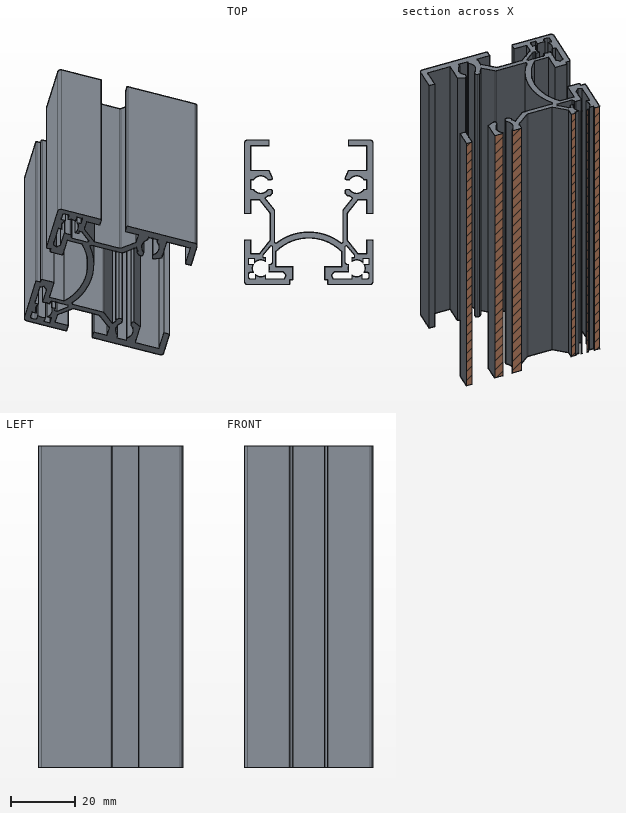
import cadquery as cq
import math

WIDTH = 40.0
DEPTH = 45.0
LENGTH = 100.0
HALF_WIDTH = WIDTH / 2
CORNER_RADIUS = 1.0
EDGE_RADIUS = 0.3

WALL = 2.0
FLANGE_END = 7.7
FLANGE_THICKNESS = 1.9
WEB_OUTER = 8.0
WEB_INNER = 9.4

SLOT_CENTER = 18.0
SLOT_OPENING = 8.2
SLOT_DEPTH = 16.7
SLOT_FLOOR = 4.7
BRACE_START = 4.2
UPPER_BRACE_END = 23.2
BRACE_JOINT_RADIUS = 0.8

ARCH_OUTER_RADIUS = 16.4
ARCH_INNER_RADIUS = 14.5
ARCH_JOINT_RADIUS = 0.4

BORE_X = 5.1
UPPER_BORE_RADIUS = 2.7
UPPER_BORE_Y = 31.1
LOWER_BORE_RADIUS = 2.6
LOWER_BORE_Y = 5.1
PORT_GAP = 3.0
PORT_TOP = 35.5
UPPER_ARM_NOSE_Y = 33.2
LOWER_ARM_NOSE_Y = 28.4
PORT_END = 8.7
PORT_TIP_RADIUS = 0.5
PORT_NECK = (6.4, 26.9)
LOWER_ARM_UNDERSIDE = [(7.5, 27.7), (7.9, 27.5)]

FOOT_END = 15.1
FOOT_TOP = 5.6
FOOT_WALL = 9.8
FOOT_STEP_X = 14.1
FOOT_STEP_Y = 1.5
RELIEF_RADIUS = 0.5
RELIEF_LEFT = 1.3
RELIEF_BOTTOM = 1.8
LOWER_RELIEF_RIGHT = 3.4
LOWER_RELIEF_TOP = 3.8
UPPER_RELIEF_RIGHT = 3.1
UPPER_RELIEF_BOTTOM = 6.3
UPPER_RELIEF_TOP = 8.1
PASSAGE_LEFT = 6.6
PASSAGE_TOP = 4.0
PASSAGE_END = 12.9
PASSAGE_END_Y = 3.0
PASSAGE_FLOOR_END = 12.4
PASSAGE_ROOF_END = 12.0
THROAT_RIGHT = 7.6
THROAT_TOP = 6.3
VOID_LEFT = 5.8
VOID_LEFT_BOTTOM = 8.4
VOID_LEFT_TOP = 9.2
VOID_RIGHT = 8.7
VOID_RIGHT_TOP = 11.9
VOID_APEX_Y = 12.1
VOID_CHAMFER = 0.5

slot_top = SLOT_CENTER + SLOT_OPENING / 2
slot_bottom = SLOT_CENTER - SLOT_OPENING / 2
pocket_top = SLOT_CENTER + SLOT_DEPTH / 2
pocket_bottom = SLOT_CENTER - SLOT_DEPTH / 2


def prism(outline):
    """Extrude a closed outline over the full length."""
    return outline.close().extrude(LENGTH)


def polygon(points):
    return prism(cq.Workplane("XY").polyline(points))


def rectangle(left, right, bottom, top):
    return polygon([(left, bottom), (right, bottom), (right, top), (left, top)])


def bore(radius, center_y):
    return cq.Workplane("XY").center(BORE_X, center_y).circle(radius).extrude(LENGTH)


def arch_point(radius, x):
    """Point at x on an arch of the given radius."""
    return (x, math.sqrt(radius**2 - (HALF_WIDTH - x) ** 2))


def arch_middle(radius, x):
    """Point halfway along the arch between x and the symmetry plane."""
    half_angle = math.asin((HALF_WIDTH - x) / radius) / 2
    return (HALF_WIDTH - radius * math.sin(half_angle), radius * math.cos(half_angle))


def round_edge(body, point, radius):
    """Round the lengthwise edge that passes through the given point."""
    nearest = cq.selectors.NearestToPointSelector((*point, LENGTH / 2))
    return body.edges("|Z").edges(nearest).fillet(radius)


def half_body():
    """Left half of the section, without the bores and the foot pocket."""
    outline = (
        cq.Workplane("XY")
        .moveTo(HALF_WIDTH, ARCH_OUTER_RADIUS)
        .threePointArc(
            arch_middle(ARCH_OUTER_RADIUS, WEB_INNER), arch_point(ARCH_OUTER_RADIUS, WEB_INNER)
        )
        .lineTo(WEB_INNER, UPPER_BRACE_END)
        .lineTo(*PORT_NECK)
        .lineTo(*LOWER_ARM_UNDERSIDE[0])
        .lineTo(*LOWER_ARM_UNDERSIDE[1])
        .lineTo(PORT_END, LOWER_ARM_NOSE_Y)
        .lineTo(PORT_END, UPPER_ARM_NOSE_Y)
        .lineTo(FLANGE_END, PORT_TOP)
        .lineTo(WALL, PORT_TOP)
        .lineTo(WALL, DEPTH - FLANGE_THICKNESS)
        .lineTo(FLANGE_END, DEPTH - FLANGE_THICKNESS)
        .lineTo(FLANGE_END, DEPTH)
        .lineTo(0, DEPTH)
        .lineTo(0, slot_top)
        .lineTo(WALL, slot_top)
        .lineTo(WALL, pocket_top)
        .lineTo(SLOT_FLOOR, pocket_top)
        .lineTo(WEB_OUTER, SLOT_CENTER + BRACE_START)
        .lineTo(WEB_OUTER, SLOT_CENTER - BRACE_START)
        .lineTo(SLOT_FLOOR, pocket_bottom)
        .lineTo(WALL, pocket_bottom)
        .lineTo(WALL, slot_bottom)
        .lineTo(0, slot_bottom)
        .lineTo(0, 0)
        .lineTo(FOOT_STEP_X, 0)
        .lineTo(FOOT_STEP_X, FOOT_STEP_Y)
        .lineTo(FOOT_END, FOOT_STEP_Y)
        .lineTo(FOOT_END, FOOT_TOP)
        .lineTo(FOOT_WALL, FOOT_TOP)
        .lineTo(*arch_point(ARCH_INNER_RADIUS, FOOT_WALL))
        .threePointArc(
            arch_middle(ARCH_INNER_RADIUS, FOOT_WALL), (HALF_WIDTH, ARCH_INNER_RADIUS)
        )
    )
    body = prism(outline)
    for corner in [(0, 0), (0, DEPTH)]:
        body = round_edge(body, corner, CORNER_RADIUS)
    for edge in [(0, slot_top), (0, slot_bottom), (FOOT_STEP_X, 0), (FOOT_END, FOOT_STEP_Y)]:
        body = round_edge(body, edge, EDGE_RADIUS)
    for joint in [(WEB_INNER, UPPER_BRACE_END), (WEB_OUTER, SLOT_CENTER + BRACE_START)]:
        body = round_edge(body, joint, BRACE_JOINT_RADIUS)
    return round_edge(body, arch_point(ARCH_OUTER_RADIUS, WEB_INNER), ARCH_JOINT_RADIUS)


def cut_screw_port(body):
    """Bore with a gap that reaches the side wall and opens towards the middle."""
    gap_bottom = UPPER_BORE_Y - PORT_GAP / 2
    gap_top = UPPER_BORE_Y + PORT_GAP / 2
    body = body.cut(bore(UPPER_BORE_RADIUS, UPPER_BORE_Y))
    body = body.cut(rectangle(WALL, HALF_WIDTH, gap_bottom, gap_top))
    for tip_y in [gap_bottom, gap_top]:
        body = round_edge(body, (PORT_END, tip_y), PORT_TIP_RADIUS)
    return body


def foot_pocket():
    """Lower bore with its corner reliefs, side passage and brace void."""
    lower_relief = rectangle(RELIEF_LEFT, LOWER_RELIEF_RIGHT, RELIEF_BOTTOM, LOWER_RELIEF_TOP)
    for corner_y in [RELIEF_BOTTOM, LOWER_RELIEF_TOP]:
        lower_relief = round_edge(lower_relief, (RELIEF_LEFT, corner_y), RELIEF_RADIUS)
    upper_relief = rectangle(RELIEF_LEFT, UPPER_RELIEF_RIGHT, UPPER_RELIEF_BOTTOM, UPPER_RELIEF_TOP)
    passage = polygon(
        [
            (PASSAGE_LEFT, RELIEF_BOTTOM),
            (PASSAGE_FLOOR_END, RELIEF_BOTTOM),
            (PASSAGE_END, PASSAGE_END_Y),
            (PASSAGE_ROOF_END, PASSAGE_TOP),
            (PASSAGE_LEFT, PASSAGE_TOP),
        ]
    )
    brace_void = polygon(
        [
            (PASSAGE_LEFT, THROAT_TOP),
            (VOID_RIGHT - VOID_CHAMFER, THROAT_TOP),
            (VOID_RIGHT, THROAT_TOP + VOID_CHAMFER),
            (VOID_RIGHT, VOID_RIGHT_TOP),
            (VOID_RIGHT - VOID_CHAMFER, VOID_APEX_Y),
            (VOID_LEFT, VOID_LEFT_TOP),
            (VOID_LEFT, VOID_LEFT_BOTTOM),
            (PASSAGE_LEFT, VOID_LEFT_BOTTOM),
        ]
    )
    throat = rectangle(PASSAGE_LEFT, THROAT_RIGHT, RELIEF_BOTTOM, THROAT_TOP)
    pocket = bore(LOWER_BORE_RADIUS, LOWER_BORE_Y)
    for part in [lower_relief, upper_relief, passage, brace_void, throat]:
        pocket = pocket.union(part)
    return pocket


half = cut_screw_port(half_body()).cut(foot_pocket())
half = half.translate((-HALF_WIDTH, -DEPTH / 2, 0))
result = half.union(half.mirror("YZ")).clean()